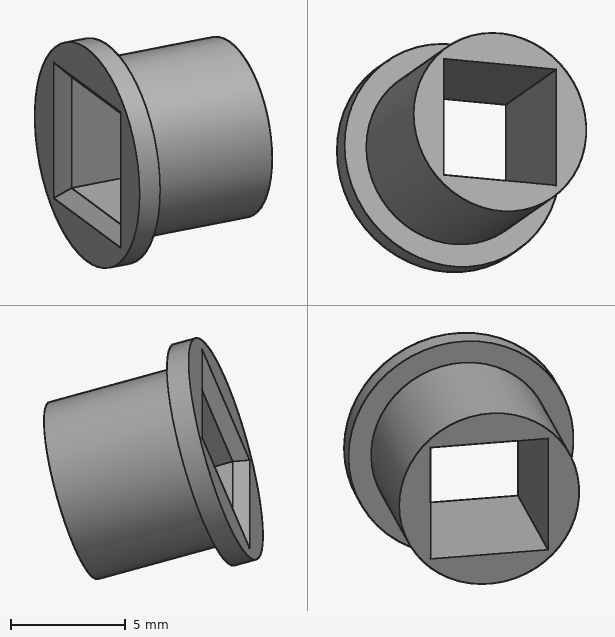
import cadquery as cq

flange_diameter = 10.0
flange_thickness = 1.0
barrel_diameter = 8.0
total_length = 7.0

hole_side = 5.22
lead_in = 0.58


def cylinder_along_y(diameter, length):
    """Cylinder running from Y = 0 toward +Y."""
    return cq.Workplane("XZ").circle(diameter / 2).extrude(-length)


flange = cylinder_along_y(flange_diameter, flange_thickness)
barrel = cylinder_along_y(barrel_diameter, total_length)

hole = cq.Workplane("XZ").rect(hole_side, hole_side).extrude(-total_length)

mouth_side = hole_side + 2 * lead_in
mouth = (
    cq.Workplane("XZ")
    .rect(mouth_side, mouth_side)
    .workplane(offset=-lead_in)
    .rect(hole_side, hole_side)
    .loft(ruled=True)
)

result = flange.union(barrel).cut(hole).cut(mouth)